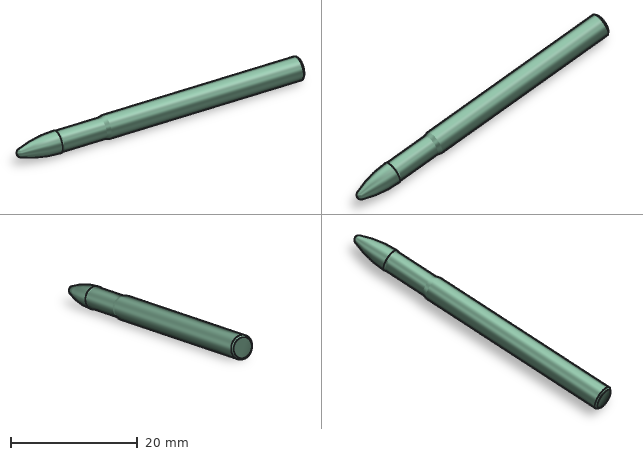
import cadquery as cq
import math

total_length = 50.0
shank_radius = 4.0 / 2
neck_radius = 3.6 / 2
head_radius = 3.8 / 2
tip_radius = 0.75

shank_start = 15.75
neck_front = 7.5
head_start = 7.15
shoulder_length = 0.75
end_chamfer = 0.3

flame_length = head_start - tip_radius
radius_drop = head_radius - tip_radius
flame_radius = tip_radius + (flame_length**2 + radius_drop**2) / (2 * radius_drop)
flame_angle = math.asin(flame_length / (flame_radius - tip_radius))


def flame_point(angle):
    """Point on the flame arc, turned by angle from its widest place."""
    radius = head_radius - flame_radius * (1 - math.cos(angle))
    return (radius, head_start - flame_radius * math.sin(angle))


def tip_point(angle):
    """Point on the round tip, turned by angle forward from the radial direction."""
    return (tip_radius * math.cos(angle), tip_radius * (1 - math.sin(angle)))


tip_middle_angle = (flame_angle + math.pi / 2) / 2

profile = (
    cq.Workplane("XY")
    .moveTo(0, 0)
    .threePointArc(tip_point(tip_middle_angle), tip_point(flame_angle))
    .threePointArc(flame_point(flame_angle / 2), flame_point(0))
    .lineTo(neck_radius, neck_front)
    .lineTo(neck_radius, shank_start - shoulder_length)
    .lineTo(shank_radius, shank_start)
    .lineTo(shank_radius, total_length - end_chamfer)
    .lineTo(shank_radius - end_chamfer, total_length)
    .lineTo(0, total_length)
    .close()
)

result = profile.revolve(360, (0, 0, 0), (0, 1, 0))